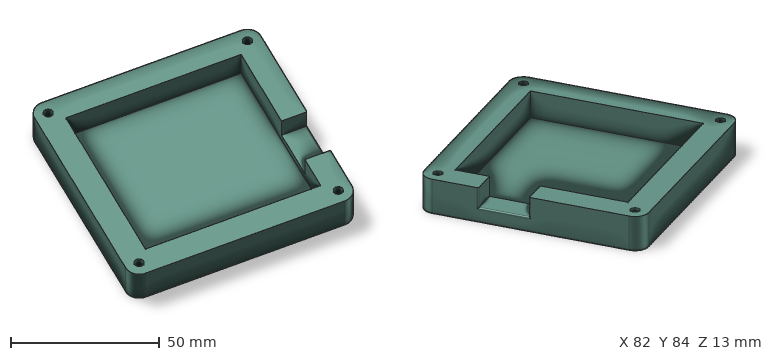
import cadquery as cq

width = 82.0
length = 84.0
height = 13.0
corner_radius = 5.0
bottom_edge_radius = 0.5

wall = 9.5
pocket_width = width - 2 * wall
pocket_length = length - 2 * wall
pocket_depth = 10.0

notch_width = 18.5
notch_center_x = 9.75
notch_depth = 7.5
notch_edge_radius = 0.5

hole_diameter = 3.4
hole_spacing_x = width - 2 * corner_radius
hole_spacing_y = length - 2 * corner_radius


def make_body():
    """Block standing on Z = 0 with rounded corners and a rounded bottom rim."""
    block = cq.Workplane("XY").box(width, length, height, centered=(True, True, False))
    block = block.edges("|Z").fillet(corner_radius)
    return block.faces("<Z").edges().fillet(bottom_edge_radius)


def cut_pocket(body):
    """Sink the rectangular cavity from the top face."""
    return body.faces(">Z").workplane().rect(pocket_width, pocket_length).cutBlind(-pocket_depth)


def cut_notch(body):
    """Open the +Y wall from the top and round the notch's outer edges."""
    floor_z = height - notch_depth
    outer_y = length / 2
    notch = (
        cq.Workplane("XY")
        .box(notch_width, wall, notch_depth, centered=(True, False, False))
        .translate((notch_center_x, outer_y - wall, floor_z))
    )
    margin = notch_edge_radius / 2
    mouth_edges = cq.selectors.BoxSelector(
        (notch_center_x - notch_width / 2 - margin, outer_y - margin, floor_z - margin),
        (notch_center_x + notch_width / 2 + margin, outer_y + margin, height - margin),
    )
    return body.cut(notch).edges(mouth_edges).fillet(notch_edge_radius)


def cut_screw_holes(body):
    """Drill a through hole at each corner."""
    return (
        body.faces(">Z")
        .workplane(origin=(0, 0, height))
        .rect(hole_spacing_x, hole_spacing_y, forConstruction=True)
        .vertices()
        .hole(hole_diameter)
    )


body = make_body()
body = cut_pocket(body)
body = cut_notch(body)
result = cut_screw_holes(body)